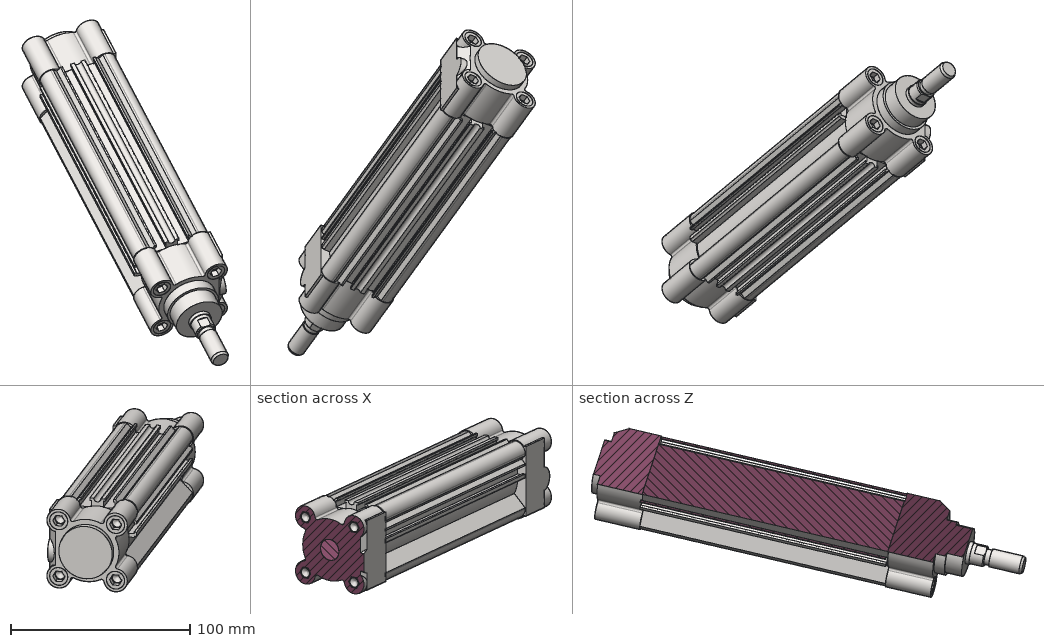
import cadquery as cq
import math


LENGTH = 246.0
REAR_BOSS_LENGTH = 4.0
COVER_LENGTH = 26.0
BARREL_LENGTH = 142.2
rear_cover_end = REAR_BOSS_LENGTH + COVER_LENGTH
front_cover_start = rear_cover_end + BARREL_LENGTH
front_cover_end = front_cover_start + COVER_LENGTH

OUTER_SIZE = 46.0
SCREW_PITCH = 32.5
COVER_CORE_RADIUS = 18.2
CORE_FILLET_RADIUS = 1.2
COVER_FLAT_Y = 18.0
BOSS_RADIUS = 15.3
outer_half = OUTER_SIZE / 2
corner_offset = SCREW_PITCH / 2
corner_radius = outer_half - corner_offset

BLOCK_HALF_HEIGHT = 20.5
BLOCK_SETBACK = 7.1
RAMP_RUN = 7.5
PORT_BOSS_RADIUS = 7.1
PORT_BOSS_SETBACK = 8.9
PORT_BOSS_Z = -3.5

COUNTERBORE_RADIUS = 5.2
COUNTERBORE_DEPTH = 0.2
SOCKET_ACROSS_FLATS = 6.0
SOCKET_DEPTH = 4.0
SOCKET_CONE_RADIUS = 2.7
SOCKET_CONE_SLOPE = 31.0
SOCKET_SIDES = 6
socket_across_corners = SOCKET_ACROSS_FLATS / math.cos(math.pi / SOCKET_SIDES)
socket_cone_depth = SOCKET_CONE_RADIUS * math.tan(math.radians(SOCKET_CONE_SLOPE))

FRONT_BOSS_LENGTH = 6.0
NOSE_RADIUS = 13.8
NOSE_LENGTH = 9.5
COLLAR_RADIUS = 6.5
COLLAR_LENGTH = 2.2
nose_start = front_cover_end + FRONT_BOSS_LENGTH
collar_start = nose_start + NOSE_LENGTH
collar_end = collar_start + COLLAR_LENGTH

BARREL_SIZE = 45.0
BARREL_CORE_RADIUS = 17.5
SLOT_OUTER_WALL = 10.0
SLOT_INNER_WALL = 3.5
LIP_OVERHANG = 0.85
LIP_THICKNESS = 1.5
LIP_LAND = 1.1
V_GROOVE_DEPTH = 2.34
RIB_GROOVE_RADIUS = 2.0
HALF_RIB_INNER_Z = 1.2
RAMP_CORNER_Z = 8.4
barrel_half = BARREL_SIZE / 2
barrel_corner_radius = barrel_half - corner_offset

ROD_RADIUS = 6.0
ROD_SHOULDER_LENGTH = 8.0
ROD_SHOULDER_CHAMFER = 0.62
FLAT_HALF_WIDTH = 5.2
FLAT_SETBACK = 2.2
RELIEF_RADIUS = 4.5
RELIEF_LENGTH = 3.0
THREAD_RADIUS = 5.2
THREAD_CHAMFER = 1.5
THREAD_END_RADIUS = 4.5
shoulder_end = collar_end + ROD_SHOULDER_LENGTH
thread_start = shoulder_end + RELIEF_LENGTH

CORNERS = [(y * corner_offset, z * corner_offset) for y in (-1, 1) for z in (-1, 1)]


def section(x):
    """Workplane across the cylinder at x, with local axes Y and Z."""
    return cq.Workplane("YZ", origin=(x, 0, 0))


def disc(x, radius, length):
    """Round bar on the X axis, starting at x."""
    return section(x).circle(radius).extrude(length)


def revolve_about_x(points):
    """Solid of revolution from an outline of (x, radius) points."""
    return cq.Workplane("XY").polyline(points).close().revolve(360, (0, 0), (1, 0))


def make_screw_recesses(face_x):
    """One screw recess per corner, opening at face_x."""
    socket_start = face_x + COUNTERBORE_DEPTH
    socket_end = socket_start + SOCKET_DEPTH
    recess = disc(face_x, COUNTERBORE_RADIUS, COUNTERBORE_DEPTH)
    socket = section(socket_start).polygon(SOCKET_SIDES, socket_across_corners).extrude(SOCKET_DEPTH)
    cone = revolve_about_x(
        [(socket_end, 0), (socket_end, SOCKET_CONE_RADIUS), (socket_end + socket_cone_depth, 0)]
    )
    recess = recess.union(socket).union(cone)
    return [recess.translate((0, y, z)) for y, z in CORNERS]


def make_connection_block(face_x, end_x):
    """Block on the +Y side with a ramp and a round port boss on the ramp."""
    block_start = face_x + BLOCK_SETBACK
    block_size = (end_x - block_start, outer_half - corner_offset, 2 * BLOCK_HALF_HEIGHT)
    block = cq.Workplane("XY").box(*block_size, centered=(False, False, True))
    block = block.translate((block_start, corner_offset, 0))
    ramp = (
        cq.Workplane("XY")
        .polyline(
            [
                (face_x, 0),
                (face_x, COVER_FLAT_Y),
                (face_x + RAMP_RUN, outer_half),
                (end_x, outer_half),
                (end_x, 0),
            ]
        )
        .close()
        .extrude(corner_offset, both=True)
    )
    port_boss = (
        cq.Workplane("XZ", origin=(face_x + PORT_BOSS_SETBACK, 0, PORT_BOSS_Z))
        .circle(PORT_BOSS_RADIUS)
        .extrude(-outer_half)
    )
    return block.union(ramp).union(port_boss)


def is_core_valley(edge):
    """True for an edge where the round core meets a corner post."""
    y, z = edge.Center().y, edge.Center().z
    on_core = math.isclose(math.hypot(y, z), COVER_CORE_RADIUS, abs_tol=0.02)
    return on_core and min(abs(y), abs(z)) > corner_radius


def make_cover(face_x):
    """Cover with its screw face at face_x and its barrel face at face_x + COVER_LENGTH."""
    body = disc(face_x, COVER_CORE_RADIUS, COVER_LENGTH)
    body = body.union(section(face_x).pushPoints(CORNERS).circle(corner_radius).extrude(COVER_LENGTH))
    body = body.edges("|X").filter(is_core_valley).fillet(CORE_FILLET_RADIUS)
    body = body.union(make_connection_block(face_x, face_x + COVER_LENGTH))
    for recess in make_screw_recesses(face_x):
        body = body.cut(recess)
    return body


def make_rear_cover():
    return make_cover(REAR_BOSS_LENGTH).union(disc(0, BOSS_RADIUS, REAR_BOSS_LENGTH))


def make_front_cover():
    """Mirrored cover with a stepped nose and a through bore for the rod."""
    cover = make_cover(-front_cover_end).mirror("YZ")
    cover = cover.union(disc(front_cover_end, BOSS_RADIUS, FRONT_BOSS_LENGTH))
    cover = cover.union(disc(nose_start, NOSE_RADIUS, NOSE_LENGTH))
    cover = cover.union(disc(collar_start, COLLAR_RADIUS, COLLAR_LENGTH))
    return cover.cut(disc(front_cover_start, ROD_RADIUS, collar_end - front_cover_start))


def prism(points):
    """Barrel-length bar from an outline of (y, z) points."""
    return section(rear_cover_end).polyline(points).close().extrude(BARREL_LENGTH)


def turned(body, angle):
    return body.rotate((0, 0, 0), (1, 0, 0), angle)


def make_slot():
    """Undercut slot in the +Z side, on the +Y half, with overhanging lips at its mouth."""
    lip_bottom = barrel_half - LIP_THICKNESS
    mouth_inner = SLOT_INNER_WALL + LIP_OVERHANG
    mouth_outer = SLOT_OUTER_WALL - LIP_OVERHANG
    return prism(
        [
            (SLOT_INNER_WALL, BARREL_CORE_RADIUS),
            (SLOT_INNER_WALL, lip_bottom),
            (mouth_inner, lip_bottom),
            (mouth_inner, barrel_half),
            (mouth_outer, barrel_half),
            (mouth_outer, lip_bottom),
            (SLOT_OUTER_WALL, lip_bottom),
            (SLOT_OUTER_WALL, BARREL_CORE_RADIUS),
        ]
    )


def make_v_groove():
    """45 degree groove in the +Z side, outside the slot on the +Y half."""
    start = SLOT_OUTER_WALL - LIP_OVERHANG + LIP_LAND
    return prism(
        [
            (start, barrel_half),
            (start + V_GROOVE_DEPTH, barrel_half - V_GROOVE_DEPTH),
            (start + 2 * V_GROOVE_DEPTH, barrel_half),
        ]
    )


def make_rib_groove():
    """Round groove along the middle of the +Z side."""
    return section(rear_cover_end).center(0, barrel_half).circle(RIB_GROOVE_RADIUS).extrude(BARREL_LENGTH)


def make_side_relief():
    """Open space under the half rib of the -Y side, down to the ramped lower corner."""
    core_y = math.sqrt(BARREL_CORE_RADIUS**2 - RAMP_CORNER_Z**2)
    ramp_drop = barrel_half - core_y
    relief = prism(
        [
            (0, HALF_RIB_INNER_Z),
            (-barrel_half, HALF_RIB_INNER_Z),
            (-barrel_half, -RAMP_CORNER_Z - ramp_drop),
            (-core_y, -RAMP_CORNER_Z),
            (0, -RAMP_CORNER_Z),
        ]
    )
    return relief.cut(disc(rear_cover_end, BARREL_CORE_RADIUS, BARREL_LENGTH))


def make_barrel():
    """Extruded profile, symmetric about the XZ plane."""
    barrel = section(rear_cover_end).rect(BARREL_SIZE, BARREL_SIZE).extrude(BARREL_LENGTH)
    barrel = barrel.edges("|X").fillet(barrel_corner_radius)
    slot = make_slot().union(make_v_groove())
    slot_pair = slot.union(slot.mirror("XZ"))
    top_cut = slot_pair.union(make_rib_groove())
    barrel = barrel.cut(top_cut).cut(turned(top_cut, 180))
    side_cut = turned(slot, 90).union(turned(make_rib_groove(), 90))
    side_cut = side_cut.union(make_side_relief())
    return barrel.cut(side_cut).cut(side_cut.mirror("XZ"))


def make_rod():
    """Rod with wrench flats, a thread relief and a chamfered threaded end."""
    rod = revolve_about_x(
        [
            (front_cover_start, 0),
            (front_cover_start, ROD_RADIUS),
            (shoulder_end - ROD_SHOULDER_CHAMFER, ROD_RADIUS),
            (shoulder_end, ROD_RADIUS - ROD_SHOULDER_CHAMFER),
            (shoulder_end, RELIEF_RADIUS),
            (thread_start, RELIEF_RADIUS),
            (thread_start, THREAD_RADIUS),
            (LENGTH - THREAD_CHAMFER, THREAD_RADIUS),
            (LENGTH, THREAD_END_RADIUS),
            (LENGTH, 0),
        ]
    )
    flat_length = ROD_SHOULDER_LENGTH - FLAT_SETBACK
    flat_cut = cq.Workplane("XY").box(flat_length, 2 * ROD_RADIUS, ROD_RADIUS, centered=(False, True, False))
    flat_cut = flat_cut.translate((collar_end + FLAT_SETBACK, 0, FLAT_HALF_WIDTH))
    return rod.cut(flat_cut).cut(flat_cut.mirror("XY"))


rear_cover = make_rear_cover()
barrel = make_barrel()
front_cover = make_front_cover()
rod = make_rod()

result = cq.Compound.makeCompound([rear_cover.val(), barrel.val(), front_cover.val(), rod.val()])